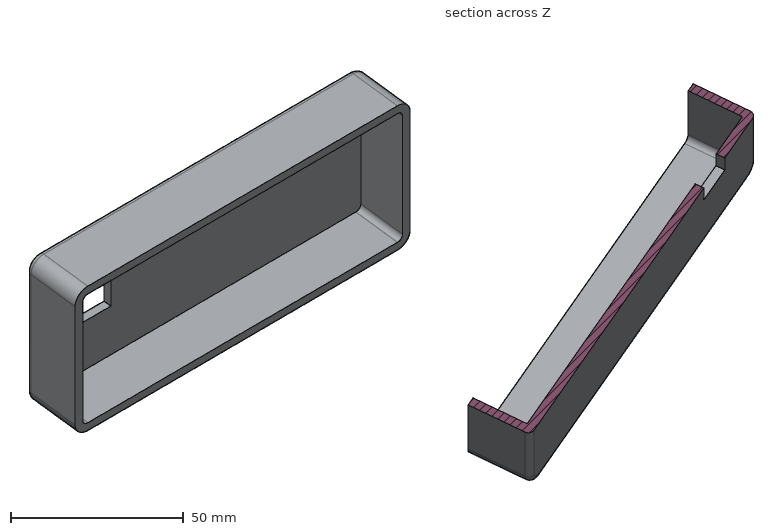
import cadquery as cq

depth = 21.0
length = 130.0
height = 55.0
corner_radius = 5.0
front_edge_radius = 2.0
wall = 3.0

window_side = 12.0
window_y = -41.0
window_z = 0.0


def rounded_block(block_depth, block_length, block_height, radius):
    """Block growing along +X from X = 0, with rounded corners in the YZ plane."""
    return (
        cq.Workplane("YZ")
        .rect(block_length, block_height)
        .extrude(block_depth)
        .edges("|X")
        .fillet(radius)
    )


body = rounded_block(depth, length, height, corner_radius)
body = body.faces("<X").edges().fillet(front_edge_radius)

cavity = rounded_block(
    depth - wall, length - 2 * wall, height - 2 * wall, corner_radius - wall
).translate((wall, 0, 0))

window = cq.Workplane("YZ").center(window_y, window_z).rect(window_side, window_side).extrude(wall)

result = body.cut(cavity).cut(window)